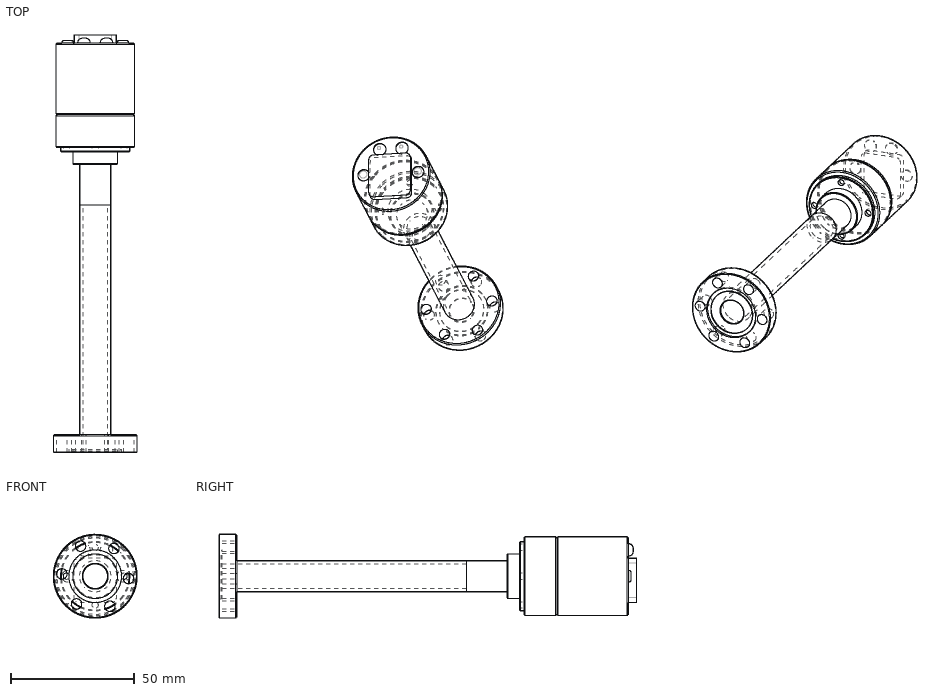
import cadquery as cq
import math

LENGTH = 169.0
FLANGE_FACE = -LENGTH / 2
FLANGE_BACK = FLANGE_FACE + 7.3
TUBE_JOINT = FLANGE_FACE + 100.2
COLLAR_FRONT = FLANGE_FACE + 116.6
PLATE_FRONT = FLANGE_FACE + 121.7
CAP_FRONT = FLANGE_FACE + 123.4
HOUSING_JOINT = FLANGE_FACE + 136.7
HOUSING_BACK = FLANGE_FACE + 165.6
CONNECTOR_BACK = FLANGE_FACE + LENGTH

FLANGE_DIA = 34.0
TUBE_DIA = 12.7
BORE_DIA = 10.0
BORE_CHAMFER = 0.25
FACE_CHAMFER = 0.3
SEAL_RECESS_DIA = 21.3
SEAL_EDGE_DIA = 18.0
SEAL_EDGE_DEPTH = 0.5
SEAL_FLOOR = FLANGE_FACE + 1.0
SEAL_GROOVE_DEPTH = 1.2
BOLT_COUNT = 6
BOLT_HOLE_DIA = 4.2
BOLT_CIRCLE_DIA = 27.0
FIRST_BOLT_ANGLE = -4.0

HOUSING_DIA = 32.0
PLATE_DIA = 28.0
COLLAR_DIA = 18.0
STEP_CHAMFER = 0.3
EDGE_CHAMFER = 0.5
PLATE_HOLE_COUNT = 4
PLATE_HOLE_DIA = 2.5
PLATE_HOLE_DEPTH = 1.7
PLATE_HOLE_CIRCLE_DIA = 23.3

CONNECTOR_WIDTH = 17.0
CONNECTOR_HEIGHT = 18.0
CONNECTOR_DROP = 1.7
CONNECTOR_CORNER = 2.0
SCREW_HEAD_DIA = 5.0
SCREW_HEAD_HEIGHT = 2.0
SCREW_HEAD_ROUND = 1.9
SCREW_X = 4.5
SCREW_Z = 10.6
BUTTON_DIA = 4.7
BUTTON_HEIGHT = 1.1
BUTTON_ROUND = 0.8
BUTTON_X = 11.2


def cylinder(diameter, start, end, x=0.0, z=0.0):
    """Cylinder along Y from start to end, with its axis through (x, z)."""
    return cq.Workplane("XZ", origin=(x, start, z)).circle(diameter / 2).extrude(start - end)


def holes_on_circle(diameter, circle_diameter, count, first_angle, start, end):
    """Cutting cylinders evenly spaced on a circle around the Y axis."""
    holes = cq.Workplane("XZ")
    for i in range(count):
        angle = math.radians(first_angle + i * 360 / count)
        x = circle_diameter / 2 * math.cos(angle)
        z = circle_diameter / 2 * math.sin(angle)
        holes = holes.add(cylinder(diameter, start, end, x, z))
    return holes.combine()


def make_seal_recess():
    """Round recess with a raised sealing edge, a sloping groove outside it and a flat floor inside."""
    return (
        cq.Workplane("XY")
        .moveTo(0, FLANGE_FACE)
        .lineTo(SEAL_RECESS_DIA / 2, FLANGE_FACE)
        .lineTo(SEAL_RECESS_DIA / 2, FLANGE_FACE + SEAL_GROOVE_DEPTH)
        .lineTo(SEAL_EDGE_DIA / 2, FLANGE_FACE + SEAL_EDGE_DEPTH)
        .lineTo(SEAL_EDGE_DIA / 2, SEAL_FLOOR)
        .lineTo(0, SEAL_FLOOR)
        .close()
        .revolve(360, (0, 0, 0), (0, 1, 0))
    )


def make_bore():
    """Bore from the seal floor to the tube joint, with a bevelled mouth."""
    mouth = (
        cq.Workplane("XZ", origin=(0, SEAL_FLOOR, 0))
        .circle(BORE_DIA / 2 + BORE_CHAMFER)
        .workplane(offset=-BORE_CHAMFER)
        .circle(BORE_DIA / 2)
        .loft()
    )
    return cylinder(BORE_DIA, SEAL_FLOOR, TUBE_JOINT).union(mouth)


def make_flanged_tube():
    flange = (
        cylinder(FLANGE_DIA, FLANGE_FACE, FLANGE_BACK)
        .faces("<Y")
        .chamfer(FACE_CHAMFER)
        .faces(">Y")
        .chamfer(EDGE_CHAMFER)
    )
    tube = cylinder(TUBE_DIA, FLANGE_BACK, TUBE_JOINT)
    bolt_holes = holes_on_circle(
        BOLT_HOLE_DIA, BOLT_CIRCLE_DIA, BOLT_COUNT, FIRST_BOLT_ANGLE, FLANGE_FACE, FLANGE_BACK
    )
    return flange.union(tube).cut(bolt_holes).cut(make_seal_recess()).cut(make_bore())


def make_front_cap():
    """Cap ring with its stepped plate, collar and tube stub."""
    ring = cylinder(HOUSING_DIA, CAP_FRONT, HOUSING_JOINT).faces("<Y or >Y").chamfer(EDGE_CHAMFER)
    plate = cylinder(PLATE_DIA, PLATE_FRONT, CAP_FRONT).faces("<Y").chamfer(STEP_CHAMFER)
    collar = cylinder(COLLAR_DIA, COLLAR_FRONT, PLATE_FRONT).faces("<Y").chamfer(STEP_CHAMFER)
    stub = cylinder(TUBE_DIA, TUBE_JOINT, COLLAR_FRONT)
    plate_holes = holes_on_circle(
        PLATE_HOLE_DIA,
        PLATE_HOLE_CIRCLE_DIA,
        PLATE_HOLE_COUNT,
        0.0,
        PLATE_FRONT,
        PLATE_FRONT + PLATE_HOLE_DEPTH,
    )
    return ring.union(plate).union(collar).union(stub).cut(plate_holes)


def make_housing():
    return cylinder(HOUSING_DIA, HOUSING_JOINT, HOUSING_BACK).faces("<Y or >Y").chamfer(EDGE_CHAMFER)


def make_connector():
    return (
        cq.Workplane("XZ", origin=(0, HOUSING_BACK, -CONNECTOR_DROP))
        .rect(CONNECTOR_WIDTH, CONNECTOR_HEIGHT)
        .extrude(HOUSING_BACK - CONNECTOR_BACK)
        .edges("|Y")
        .fillet(CONNECTOR_CORNER)
    )


def make_head(diameter, height, rounding, x, z):
    """Round head standing on the back of the housing, with a rounded rim."""
    head = cylinder(diameter, HOUSING_BACK, HOUSING_BACK + height, x, z)
    return head.faces(">Y").edges().fillet(rounding)


flanged_tube = make_flanged_tube()
front_cap = make_front_cap()
housing = make_housing()
connector = make_connector()
screws = []
buttons = []
for side in (-1, 1):
    screws.append(make_head(SCREW_HEAD_DIA, SCREW_HEAD_HEIGHT, SCREW_HEAD_ROUND, side * SCREW_X, SCREW_Z))
    buttons.append(make_head(BUTTON_DIA, BUTTON_HEIGHT, BUTTON_ROUND, side * BUTTON_X, 0.0))

result = cq.Compound.makeCompound(
    [
        flanged_tube.val(),
        front_cap.val(),
        housing.val(),
        connector.val(),
        *[screw.val() for screw in screws],
        *[button.val() for button in buttons],
    ]
)